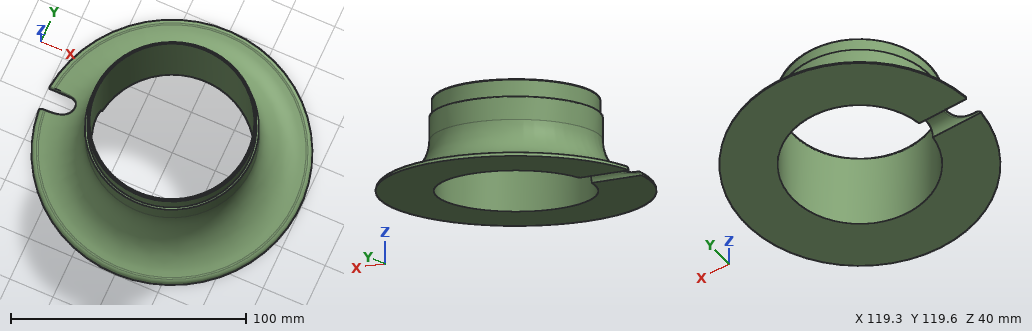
import cadquery as cq
import math

height = 40.0
rim_radius = 59.8
bore_radius = 34.97
wall = 2.0
spigot_radius = 36.0
spigot_length = 8.0
flare_start = 22.0
lip_chamfer = 0.5
notch_radius = 5.0
notch_edge_fillet = 0.6
base_clearance = 0.01

collar_radius = bore_radius + wall
shoulder_height = height - spigot_length
flare_radius = flare_start - wall
flare_centre = collar_radius + flare_radius
diagonal = math.sqrt(0.5)


def make_bell():
    """Straight bore in a body that flares out to a flat rim, with a stepped spigot on top."""
    rim_round_end = rim_radius - wall
    rim_round_mid = (rim_round_end + wall * diagonal, wall * diagonal)
    flare_mid = (flare_centre - flare_radius * diagonal, flare_start - flare_radius * diagonal)
    profile = (
        cq.Workplane("XZ")
        .moveTo(rim_radius, 0)
        .threePointArc(rim_round_mid, (rim_round_end, wall))
        .lineTo(flare_centre, wall)
        .threePointArc(flare_mid, (collar_radius, flare_start))
        .lineTo(collar_radius, shoulder_height)
        .lineTo(spigot_radius, shoulder_height)
        .lineTo(spigot_radius, height - lip_chamfer)
        .lineTo(spigot_radius - lip_chamfer, height)
        .lineTo(bore_radius, height)
        .lineTo(bore_radius, 0)
        .close()
    )
    return profile.revolve(360, (0, 0, 0), (0, 1, 0))


def make_notch_cutter():
    """Horizontal cylinder through the -X side of the rim, ending inside the bore."""
    return (
        cq.Workplane("YZ", origin=(-rim_radius, 0, 0))
        .circle(notch_radius)
        .extrude(rim_radius)
    )


def round_notch_edge(body):
    """Round the edge where the notch meets the flare and the rim."""
    search_box = cq.selectors.BoxSelector(
        (-rim_radius - wall, -2 * notch_radius, base_clearance),
        (-collar_radius - wall, 2 * notch_radius, 2 * notch_radius),
        boundingbox=True,
    )
    return body.edges(search_box).fillet(notch_edge_fillet)


result = round_notch_edge(make_bell().cut(make_notch_cutter()))